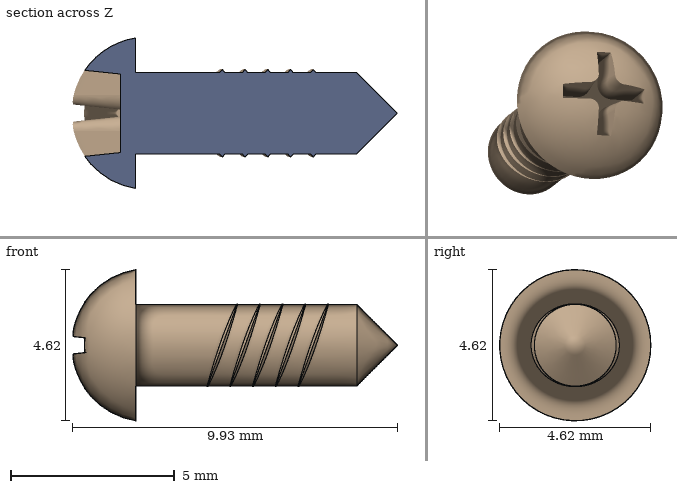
import cadquery as cq
import math

total_length = 9.93
head_base_x = 1.93
head_radius = 2.31
crown_x = -0.05
shank_radius = 1.25
point_length = shank_radius
point_start = total_length - point_length

ring_count = 5
ring_pitch = 0.7
first_ring_x = 4.57
ring_radius = 1.35
ring_half_width = 0.08
ring_root_radius = 1.09
ring_tilt = 20

recess_depth = 1.49
recess_taper = 6
arm_reach = 1.35
arm_width = 0.54
arm_corner_radius = 0.28


def revolve_about_x(outline):
    return outline.close().revolve(360, (0, 0, 0), (1, 0, 0))


def make_head():
    """Dome whose spherical face passes through the crown and the base rim."""
    head_length = head_base_x - crown_x
    dome_radius = (head_length**2 + head_radius**2) / (2 * head_length)
    middle_radius = head_radius / 2
    middle_x = crown_x + dome_radius - math.sqrt(dome_radius**2 - middle_radius**2)
    outline = (
        cq.Workplane("XY")
        .moveTo(crown_x, 0)
        .threePointArc((middle_x, middle_radius), (head_base_x, head_radius))
        .lineTo(head_base_x, 0)
    )
    return revolve_about_x(outline)


def make_shank():
    outline = (
        cq.Workplane("XY")
        .moveTo(head_base_x, 0)
        .lineTo(head_base_x, shank_radius)
        .lineTo(point_start, shank_radius)
        .lineTo(total_length, 0)
    )
    return revolve_about_x(outline)


def make_ring(center_x):
    """Disc with a V-shaped rim, leaning towards the point at its top."""
    flank_slope = ring_half_width / (ring_radius - shank_radius)
    root_half_width = flank_slope * (ring_radius - ring_root_radius)
    outline = (
        cq.Workplane("XY")
        .moveTo(-root_half_width, 0)
        .lineTo(-root_half_width, ring_root_radius)
        .lineTo(0, ring_radius)
        .lineTo(root_half_width, ring_root_radius)
        .lineTo(root_half_width, 0)
    )
    ring = revolve_about_x(outline).rotate((0, 0, 0), (0, 1, 0), ring_tilt)
    return ring.translate((center_x, 0, 0))


def make_recess():
    """Tapered cross with rounded inner corners, sunk from the crown."""
    arm_length = 2 * arm_reach
    inner_corners = cq.selectors.BoxSelector(
        (crown_x - 0.1, -arm_width, -arm_width),
        (crown_x + recess_depth, arm_width, arm_width),
    )
    crown_plane = cq.Workplane("YZ", origin=(crown_x, 0, 0))
    straight_cross = (
        crown_plane.rect(arm_length, arm_width)
        .extrude(recess_depth)
        .union(crown_plane.rect(arm_width, arm_length).extrude(recess_depth))
        .edges("|X")
        .edges(inner_corners)
        .fillet(arm_corner_radius)
    )
    return (
        straight_cross.faces("<X")
        .wires()
        .toPending()
        .copyWorkplane(crown_plane)
        .extrude(recess_depth, combine=False, taper=recess_taper)
    )


result = make_head().union(make_shank())
for index in range(ring_count):
    result = result.union(make_ring(first_ring_x + index * ring_pitch))
result = result.cut(make_recess())